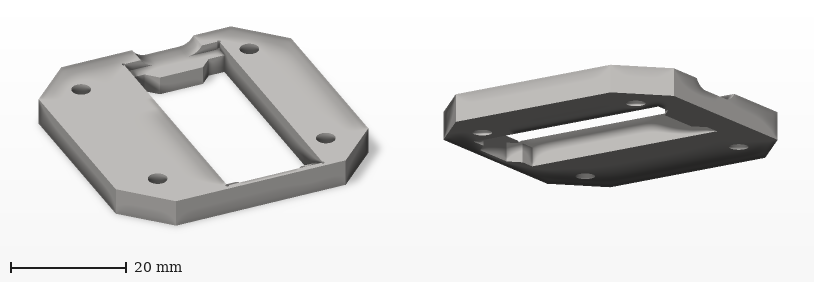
import cadquery as cq

plate_side = 48.0
plate_thickness = 5.0
corner_chamfer = 7.88
bolt_hole_diameter = 3.4
bolt_spacing = 32.0

recess_left = -20.4
recess_right = 23.0
recess_width = 18.15
recess_center_y = 3.15
recess_depth = 1.6
corner_relief_diameter = 0.62

opening_left = -18.2
opening_right = 20.25
tab_offset = 2.0
tab_base_half_width = 6.1
tab_tip_half_width = tab_base_half_width - tab_offset

channel_top_half_width = 5.8
channel_floor_half_width = 3.1

floor_z = plate_thickness - recess_depth
recess_length = recess_right - recess_left
recess_center_x = (recess_left + recess_right) / 2


def make_plate():
    return (
        cq.Workplane("XY")
        .rect(plate_side, plate_side)
        .extrude(plate_thickness)
        .edges("|Z")
        .chamfer(corner_chamfer)
    )


def make_bolt_holes():
    return (
        cq.Workplane("XY")
        .rect(bolt_spacing, bolt_spacing, forConstruction=True)
        .vertices()
        .circle(bolt_hole_diameter / 2)
        .extrude(plate_thickness)
    )


def make_recess():
    floor = cq.Workplane("XY", origin=(recess_center_x, recess_center_y, floor_z))
    pocket = floor.rect(recess_length, recess_width).extrude(recess_depth)
    corner_reliefs = (
        floor.rect(recess_length, recess_width, forConstruction=True)
        .vertices()
        .circle(corner_relief_diameter / 2)
        .extrude(recess_depth)
    )
    return pocket.union(corner_reliefs)


def end_wall_points(wall_x):
    """Points of one end wall, from -Y to +Y, with its shifted middle."""
    half_width = recess_width / 2
    return [
        (wall_x, -half_width),
        (wall_x, -tab_base_half_width),
        (wall_x + tab_offset, -tab_tip_half_width),
        (wall_x + tab_offset, tab_tip_half_width),
        (wall_x, tab_base_half_width),
        (wall_x, half_width),
    ]


def make_opening():
    outline = end_wall_points(opening_right) + end_wall_points(opening_left)[::-1]
    return (
        cq.Workplane("XY", origin=(0, recess_center_y, 0))
        .polyline(outline)
        .close()
        .extrude(plate_thickness)
    )


def make_channel():
    channel_length = recess_left + plate_side / 2
    half_channel = (
        cq.Workplane("YZ", origin=(-plate_side / 2, recess_center_y, floor_z))
        .lineTo(channel_floor_half_width, 0)
        .tangentArcPoint((channel_top_half_width, recess_depth), relative=False)
        .lineTo(0, recess_depth)
        .close()
        .extrude(channel_length)
    )
    return half_channel.mirror("XZ", (0, recess_center_y, 0), union=True)


result = (
    make_plate()
    .cut(make_bolt_holes())
    .cut(make_recess())
    .cut(make_opening())
    .cut(make_channel())
)